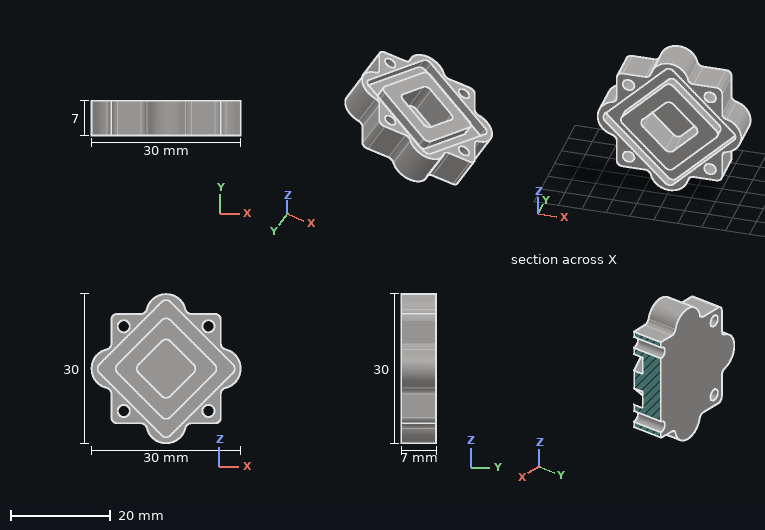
import cadquery as cq

overall_size = 30.0
thickness = 7.0
lobe_radius = 4.0
edge_radius = 1.2

hole_diameter = 2.4
hole_spacing = 17.0

recess_corner_radius = 1.2
groove_outer_side = 20.2
groove_inner_side = 15.0
pocket_side = 9.0
groove_depth = 2.2
pocket_depth = 6.0

plate_side = overall_size - 2 * lobe_radius
front_y = -thickness / 2


def front_plane():
    """Sketch plane on the -Y face; extrusions run into the part along +Y."""
    return cq.Workplane(cq.Plane(origin=(0, front_y, 0), xDir=(1, 0, 0), normal=(0, 1, 0)))


def diamond_block(side, depth):
    """Square block turned 45 degrees, with rounded corners, sunk from the -Y face."""
    block = front_plane().rect(side, side).extrude(depth).edges("|Y").fillet(recess_corner_radius)
    return block.rotate((0, 0, 0), (0, 1, 0), 45)


def make_plate():
    """Square plate with a round lobe on each side, the edges along Y blended."""
    half = plate_side / 2
    lobe_centres = [(half, 0), (-half, 0), (0, half), (0, -half)]
    square = front_plane().rect(plate_side, plate_side).extrude(thickness)
    lobes = front_plane().pushPoints(lobe_centres).circle(lobe_radius).extrude(thickness)
    plate = square.union(lobes)
    reach = half + edge_radius / 2
    inside = cq.selectors.BoxSelector((-reach, -thickness, -reach), (reach, thickness, reach))
    return plate.edges("|Y").edges(inside).fillet(edge_radius)


def make_holes():
    """Four through-hole cylinders, one near each plate corner."""
    return (
        front_plane()
        .rect(hole_spacing, hole_spacing, forConstruction=True)
        .vertices()
        .circle(hole_diameter / 2)
        .extrude(thickness)
    )


groove = diamond_block(groove_outer_side, groove_depth).cut(diamond_block(groove_inner_side, groove_depth))
pocket = diamond_block(pocket_side, pocket_depth)

result = make_plate().cut(make_holes()).cut(groove).cut(pocket)